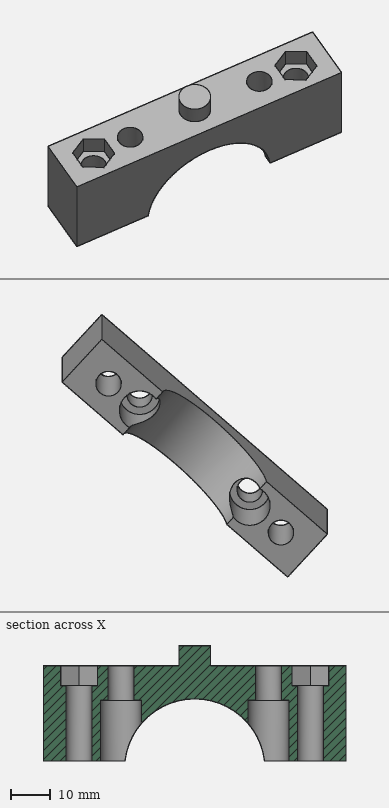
import cadquery as cq
import math

length = 76.2
width = 15.0
total_height = 29.0
pin_height = 5.0
block_height = total_height - pin_height

pin_diameter = 8.0

arch_opening = 35.05
arch_rise = 15.6

hole_diameter = 6.4
inner_hole_offset = 18.6
outer_hole_offset = 29.1

counterbore_diameter = 10.2
counterbore_depth = 15.2

nut_across_flats = 9.15
nut_across_corners = nut_across_flats / math.cos(math.pi / 6)
nut_pocket_depth = 5.0


def mirrored_pair(offset):
    """Points at equal distances either side of the centre."""
    return [(0, side * offset) for side in (-1, 1)]


def make_block():
    return cq.Workplane("XY").box(width, length, block_height, centered=(True, True, False))


def make_pin():
    return (
        cq.Workplane("XY", origin=(0, 0, block_height))
        .circle(pin_diameter / 2)
        .extrude(pin_height)
    )


def make_arch():
    return (
        cq.Workplane("YZ")
        .moveTo(-arch_opening / 2, 0)
        .threePointArc((0, arch_rise), (arch_opening / 2, 0))
        .close()
        .extrude(width / 2, both=True)
    )


def make_holes():
    centres = mirrored_pair(inner_hole_offset) + mirrored_pair(outer_hole_offset)
    return cq.Workplane("XY").pushPoints(centres).circle(hole_diameter / 2).extrude(block_height)


def make_counterbores():
    return (
        cq.Workplane("XY")
        .pushPoints(mirrored_pair(inner_hole_offset))
        .circle(counterbore_diameter / 2)
        .extrude(counterbore_depth)
    )


def make_nut_pockets():
    return (
        cq.Workplane("XY", origin=(0, 0, block_height))
        .pushPoints(mirrored_pair(outer_hole_offset))
        .polygon(6, nut_across_corners)
        .extrude(-nut_pocket_depth)
    )


result = (
    make_block()
    .cut(make_arch())
    .cut(make_holes())
    .cut(make_counterbores())
    .cut(make_nut_pockets())
    .union(make_pin())
)